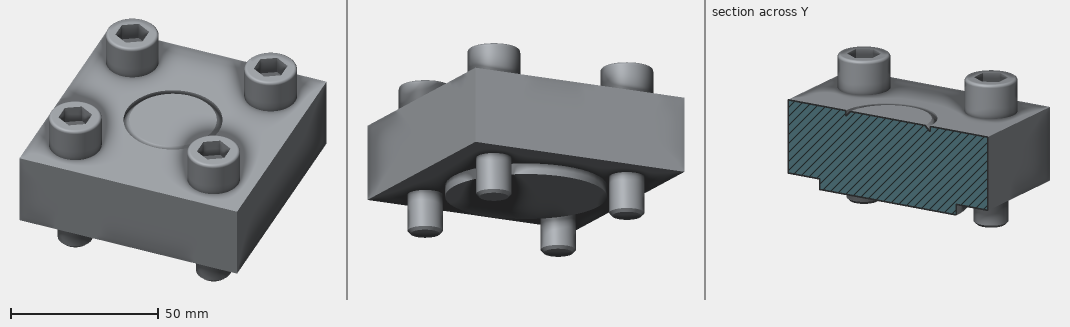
import cadquery as cq

overall_height = 52.0

plate_side = 80.0
plate_height = 26.2

screw_spacing = 50.9
head_diameter = 18.0
head_height = 12.0
head_edge_radius = 1.0
shank_diameter = 12.0
shank_projection = overall_height - plate_height - head_height
shank_chamfer = 1.0
hex_across_flats = 10.0
hex_depth = 6.0

spigot_diameter = 55.0
spigot_height = 3.8

groove_diameter = 33.7
disc_diameter = 29.8
groove_depth = 1.9


def make_plate():
    """Square plate with its round spigot."""
    plate = cq.Workplane("XY").box(plate_side, plate_side, plate_height, centered=(True, True, False))
    spigot = cq.Workplane("XY").circle(spigot_diameter / 2).extrude(-spigot_height)
    return plate.union(spigot)


def make_groove():
    """Ring cutter with a vertical outer wall and a conical inner wall."""
    groove_radius = groove_diameter / 2
    disc_radius = disc_diameter / 2
    return (
        cq.Workplane("XZ")
        .moveTo(disc_radius, plate_height)
        .lineTo(groove_radius, plate_height)
        .lineTo(groove_radius, plate_height - groove_depth)
        .close()
        .revolve(360, (0, 0, 0), (0, 1, 0))
    )


def make_screw():
    """Socket head screw on the Z axis, its head resting on the plate."""
    head = (
        cq.Workplane("XY", origin=(0, 0, plate_height))
        .circle(head_diameter / 2)
        .extrude(head_height)
        .faces(">Z")
        .edges()
        .fillet(head_edge_radius)
    )
    shank = (
        cq.Workplane("XY", origin=(0, 0, -shank_projection))
        .circle(shank_diameter / 2)
        .extrude(shank_projection + plate_height)
        .faces("<Z")
        .chamfer(shank_chamfer)
    )
    socket = (
        cq.Workplane("XY", origin=(0, 0, plate_height + head_height))
        .polygon(6, hex_across_flats, circumscribed=True)
        .extrude(-hex_depth)
    )
    return head.union(shank).cut(socket)


result = make_plate().cut(make_groove())
screw = make_screw()
for x_side in (-1, 1):
    for y_side in (-1, 1):
        position = (x_side * screw_spacing / 2, y_side * screw_spacing / 2, 0)
        result = result.union(screw.translate(position))